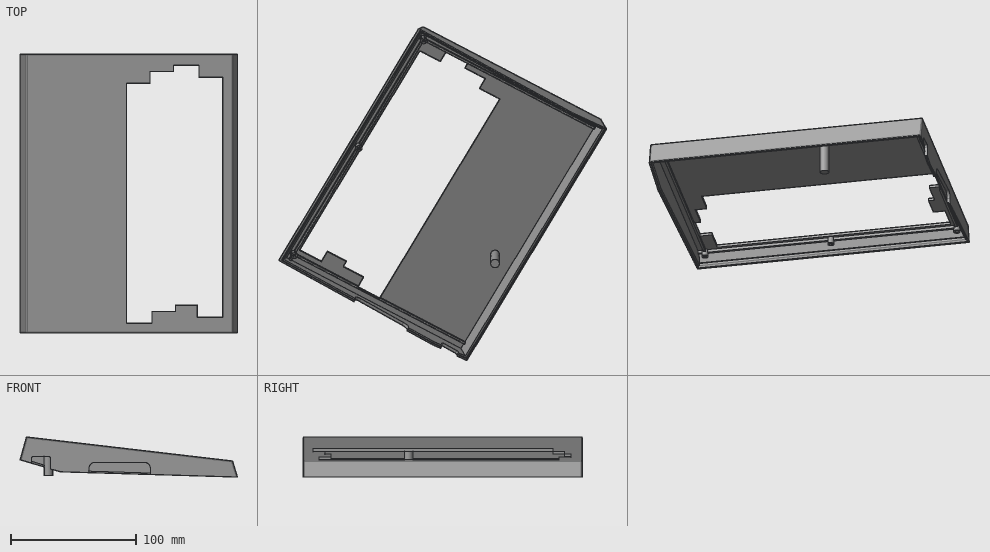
import cadquery as cq
import math

length = 173.98
width = 223.0
height = 32.16

plate_angle = 6.65
rear_bottom_z = 13.9
rear_lip_height = 1.4
rear_lip_x = 0.5
rear_top_x = 5.2
front_top_x = 170.0
kink_x = 32.4
kink_z = 4.2

wall = 2.5
plate_thickness = 2.2
edge_radius = 0.8
corner_radius = 0.9

rabbet_inset = 1.3
rabbet_height = 1.3
front_rabbet_height = 3.6
front_bevel_height = 1.8

row_start_x = 85.2
row_pitch = 18.85
row_width = 20.2
row_length = 191.6
row_low_ends = (-103.6, -94.2, -89.2, -98.8)

cable_notch_start = 55.2
cable_notch_end = 104.3
cable_notch_top = 11.9
cable_notch_radius = 5.0
rear_notch_start = 9.3
rear_notch_end = 24.4
rear_notch_top = 16.6
rear_notch_radius = 1.5

rib_thickness = 1.7
rib_reach = 4.6

boss_diameter = 5.0
boss_hole_diameter = 2.3
boss_hole_depth = 4.0
boss_x = 165.2
boss_reach = 7.8

post_diameter = 7.0
post_x = 22.9
post_y = -27.2
post_bottom_z = 1.2

boss_spacing = row_low_ends[2] + row_length + rib_thickness / 2

plate_tilt = math.radians(plate_angle)
plate_slope = math.tan(plate_tilt)
rear_lean = (rear_top_x - rear_lip_x) / (height - rear_bottom_z - rear_lip_height)
rear_lean_angle = math.atan(rear_lean)
arc_center_drop = plate_slope / math.cos(rear_lean_angle) + 1 / math.cos(plate_tilt)
arc_center_drop /= 1 + plate_slope * rear_lean
crest_z = height + edge_radius * (arc_center_drop - 1)
front_top_z = crest_z - plate_slope * (front_top_x - rear_top_x)
front_lean = (length - front_top_x) / front_top_z
floor_z = -rear_bottom_z


def plate_top_z(x):
    return crest_z - plate_slope * (x - rear_top_x)


def rear_face_x(z):
    return rear_top_x - rear_lean * (crest_z - z)


def front_face_x(z):
    return length - front_lean * z


def extrude_across(profile, span):
    """Extrude a closed XZ profile symmetrically about the middle of the part."""
    return profile.extrude(span / 2, both=True)


def under_plate(x, y, depth):
    """Work plane square to the plate, at a depth below its top, facing up."""
    center = (x - depth * math.sin(plate_tilt), y, plate_top_z(x) - depth * math.cos(plate_tilt))
    across = (math.cos(plate_tilt), 0, -math.sin(plate_tilt))
    normal = (math.sin(plate_tilt), 0, math.cos(plate_tilt))
    return cq.Workplane(cq.Plane(origin=center, xDir=across, normal=normal))


def body():
    profile = (
        cq.Workplane("XZ")
        .moveTo(0, rear_bottom_z)
        .lineTo(rear_lip_x, rear_bottom_z + rear_lip_height)
        .lineTo(rear_top_x, crest_z)
        .lineTo(front_top_x, front_top_z)
        .lineTo(length, 0)
        .lineTo(kink_x, kink_z)
        .close()
    )
    wedge = extrude_across(profile, width)
    corner_directions = (
        (rear_lip_x, 0, rear_lip_height),
        (rear_top_x - rear_lip_x, 0, crest_z - rear_bottom_z - rear_lip_height),
        (front_top_x - length, 0, front_top_z),
    )
    corners = cq.Workplane("XY")
    for direction in corner_directions:
        corners = corners.add(wedge.edges(cq.selectors.ParallelDirSelector(cq.Vector(direction))))
    wedge = wedge.newObject(corners.vals()).fillet(corner_radius)
    plate_normal = cq.Vector(plate_slope, 0, 1)
    return wedge.faces(cq.selectors.ParallelDirSelector(plate_normal)).edges().fillet(edge_radius)


def cavity():
    """Space under the plate, running out through the open underside."""
    ceiling_rear_z = plate_top_z(rear_top_x + wall) - plate_thickness
    ceiling_front_z = plate_top_z(front_top_x - wall) - plate_thickness
    profile = (
        cq.Workplane("XZ")
        .moveTo(rear_face_x(floor_z) + wall, floor_z)
        .lineTo(rear_face_x(ceiling_rear_z) + wall, ceiling_rear_z)
        .lineTo(front_face_x(ceiling_front_z) - wall, ceiling_front_z)
        .lineTo(front_face_x(floor_z) - wall, floor_z)
        .close()
    )
    return extrude_across(profile, width - 2 * wall)


def rabbet():
    """Step inside the bottom edge, parallel to the two bottom faces and taller at the front.

    The front step is upright, then leans with the front wall below the bevel height.
    """
    front_x = length - rabbet_inset - front_lean * front_rabbet_height
    ledge_x = front_face_x(front_rabbet_height) - wall
    profile = (
        cq.Workplane("XZ")
        .moveTo(rear_face_x(floor_z) + rabbet_inset, floor_z)
        .lineTo(rear_face_x(rear_bottom_z) + rabbet_inset, rear_bottom_z + rabbet_height)
        .lineTo(kink_x, kink_z + rabbet_height)
        .lineTo(ledge_x, rabbet_height)
        .lineTo(ledge_x, front_rabbet_height)
        .lineTo(front_x, front_rabbet_height)
        .lineTo(front_x, front_bevel_height)
        .lineTo(front_x + front_lean * (front_bevel_height - floor_z), floor_z)
        .close()
    )
    return extrude_across(profile, width - 2 * rabbet_inset)


def keyboard_opening():
    opening = cq.Workplane("XY")
    for row, low_end in enumerate(row_low_ends):
        key_row = cq.Workplane("XY").box(row_width, row_length, height, centered=False)
        opening = opening.union(key_row.translate((row_start_x + row * row_pitch, low_end, 0)))
    return opening


def side_notch(start, end, top, radius):
    """Notch with rounded upper corners, open downward, through the -Y wall only."""
    return (
        cq.Workplane("XY")
        .box(end - start, 2 * wall, 2 * top, centered=(False, True, True))
        .edges("|Y and >Z")
        .fillet(radius)
        .translate((start, -width / 2, 0))
    )


def ribs():
    """One rib along the front and one along each side, crossing at the outer bosses."""
    rib_height = rib_reach - plate_thickness / 2
    front_rib = under_plate(boss_x, 0, rib_reach).rect(rib_thickness, width - wall).extrude(rib_height)
    side_length = front_top_x - rear_top_x - wall
    middle_x = (front_top_x + rear_top_x) / 2
    side_ribs = (
        under_plate(middle_x, 0, rib_reach)
        .pushPoints([(0, -boss_spacing), (0, boss_spacing)])
        .rect(side_length, rib_thickness)
        .extrude(rib_height)
    )
    return front_rib.union(side_ribs)


def boss(y):
    """Screw boss with a blind hole from below."""
    boss_height = boss_reach - plate_thickness / 2
    shaft = under_plate(boss_x, y, boss_reach).circle(boss_diameter / 2).extrude(boss_height)
    hole = under_plate(boss_x, y, boss_reach).circle(boss_hole_diameter / 2).extrude(boss_hole_depth)
    return shaft.cut(hole)


def rear_post():
    top_z = plate_top_z(post_x + post_diameter / 2) - plate_thickness / 2
    post = cq.Workplane("XY", origin=(post_x, post_y, post_bottom_z)).circle(post_diameter / 2)
    return post.extrude(top_z - post_bottom_z)


result = body().cut(cavity()).cut(rabbet()).union(ribs()).union(rear_post())
result = result.cut(keyboard_opening())
for boss_y in (-boss_spacing, 0, boss_spacing):
    result = result.union(boss(boss_y))
result = result.cut(side_notch(cable_notch_start, cable_notch_end, cable_notch_top, cable_notch_radius))
result = result.cut(side_notch(rear_notch_start, rear_notch_end, rear_notch_top, rear_notch_radius))